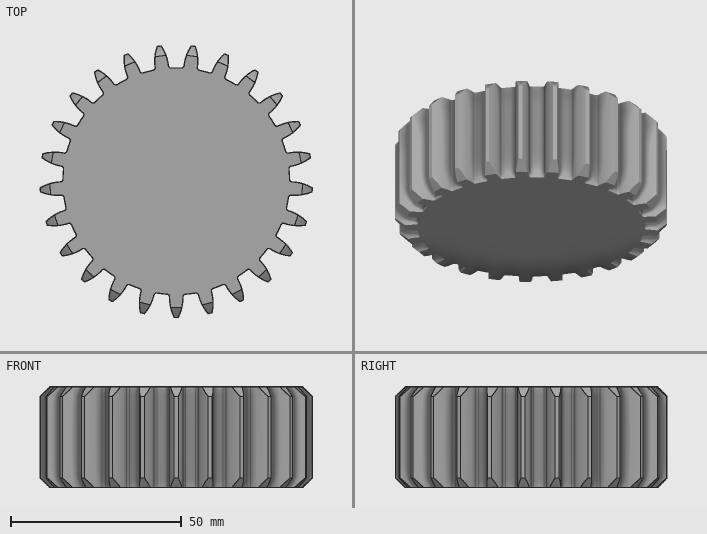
import cadquery as cq
import math

tooth_count = 25
overall_width = 79.75
face_width = 29.6
tooth_height = 6.7
flank_radius = 13.0
tooth_thickness = 4.0
bulge_radius = 34.05
root_fillet = 0.7
bevel_height = 2.9
bevel_depth = 2.95

pitch_angle = 2 * math.pi / tooth_count

flank_center_offset = flank_radius - tooth_thickness / 2
flank_center_distance = math.hypot(bulge_radius, flank_center_offset)
flank_center_angle = math.atan2(flank_center_offset, bulge_radius)


def half_angle(radius):
    """Half the angle that one tooth spans at a distance from the gear axis."""
    squares = radius ** 2 + flank_center_distance ** 2 - flank_radius ** 2
    return math.acos(squares / (2 * radius * flank_center_distance)) - flank_center_angle


refinement_steps = 5
tip_radius = overall_width / 2
for _ in range(refinement_steps):
    tip_radius = overall_width / 2 / math.cos(pitch_angle / 4 - half_angle(tip_radius))

root_radius = tip_radius - tooth_height
bevel_inner_radius = tip_radius - bevel_depth


def polar(radius, angle):
    return (radius * math.cos(angle), radius * math.sin(angle))


def toothed_outline():
    first_angle = -math.pi / 2
    middle_radius = (root_radius + tip_radius) / 2
    root_half = half_angle(root_radius)
    middle_half = half_angle(middle_radius)
    tip_half = half_angle(tip_radius)

    outline = cq.Workplane("XY", origin=(0, 0, -face_width / 2))
    outline = outline.moveTo(*polar(root_radius, first_angle - root_half))
    for i in range(tooth_count):
        center = first_angle + i * pitch_angle
        outline = outline.threePointArc(
            polar(middle_radius, center - middle_half), polar(tip_radius, center - tip_half)
        )
        outline = outline.threePointArc(
            polar(tip_radius, center), polar(tip_radius, center + tip_half)
        )
        outline = outline.threePointArc(
            polar(middle_radius, center + middle_half), polar(root_radius, center + root_half)
        )
        outline = outline.threePointArc(
            polar(root_radius, center + pitch_angle / 2),
            polar(root_radius, center + pitch_angle - root_half),
        )
    return outline.close()


def root_corners(body):
    """Upright edges where the flanks meet the root circle."""
    def on_root(edge):
        middle = edge.Center()
        return abs(math.hypot(middle.x, middle.y) - root_radius) < root_fillet / 2

    return body.edges("|Z").filter(on_root)


def bevelled_blank():
    """Solid of revolution that trims both ends of the teeth to a cone."""
    half_width = face_width / 2
    shoulder = half_width - bevel_height
    profile = [
        (0, -half_width),
        (bevel_inner_radius, -half_width),
        (tip_radius, -shoulder),
        (tip_radius, shoulder),
        (bevel_inner_radius, half_width),
        (0, half_width),
    ]
    return cq.Workplane("XZ").polyline(profile).close().revolve(360, (0, 0, 0), (0, 1, 0))


gear = toothed_outline().extrude(face_width)
gear = root_corners(gear).fillet(root_fillet)
result = gear.intersect(bevelled_blank())